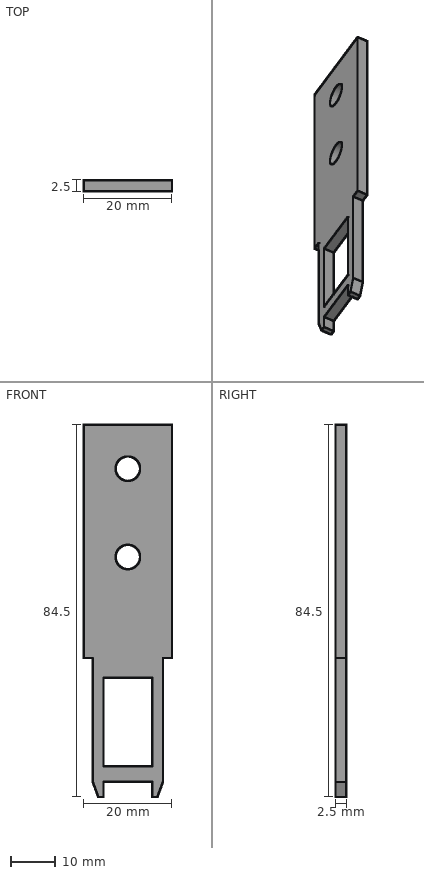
import cadquery as cq

length = 84.5
width = 20.0
thickness = 2.5

body_length = 53.0
tongue_width = 16.0
shoulder_z = length - body_length

fork_depth = 3.5
taper_inset = 1.3

window_width = 11.0
window_height = 20.0
window_bottom = 7.0

hole_diameter = 5.5
hole_pitch = 20.0
top_hole_z = length - hole_pitch / 2


def back_plane():
    """Sketch plane on the +Y face, facing -Y, so extrusions run through the plate."""
    return cq.Workplane("XZ", origin=(0, thickness / 2, 0))


def make_blank():
    """Stepped plate with a fork at its lower end, centred on X and Y."""
    right_side = [
        (window_width / 2, fork_depth),
        (window_width / 2, 0),
        (tongue_width / 2 - taper_inset, 0),
        (tongue_width / 2, fork_depth),
        (tongue_width / 2, shoulder_z),
        (width / 2, shoulder_z),
        (width / 2, length),
    ]
    left_side = [(-x, z) for x, z in reversed(right_side)]
    outline = back_plane().polyline(right_side + left_side).close()
    return outline.extrude(thickness)


def make_window():
    window_center_z = window_bottom + window_height / 2
    return (
        back_plane()
        .center(0, window_center_z)
        .rect(window_width, window_height)
        .extrude(thickness)
    )


def make_holes():
    centers = [(0, top_hole_z - i * hole_pitch) for i in range(2)]
    return (
        back_plane()
        .pushPoints(centers)
        .circle(hole_diameter / 2)
        .extrude(thickness)
    )


result = make_blank().cut(make_window()).cut(make_holes())